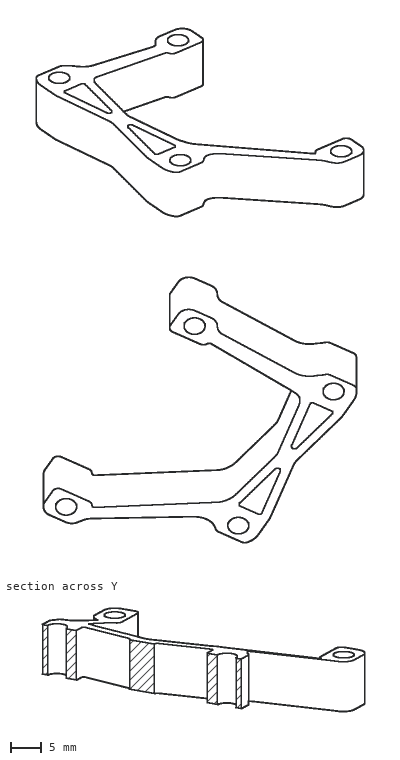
import cadquery as cq
import math

part_height = 15.5
plate_thickness = 8.5
lift = part_height - plate_thickness
overall_width = 48.2
overall_depth = 36.15
hole_diameter = 3.4

front_hole_x = 15.8
front_half_width = 18.5
front_half_depth = 3.75
front_corner_radius = 1.0
web_slope = math.radians(10)
waist_half_depth = 1.7
waist_radius = 3.3
front_flat_end_x = 12.3
front_flat_end_radius = 4.0

rear_inner_x = 18.5
rear_outer_x = overall_width / 2
rear_hole_x = (rear_inner_x + rear_outer_x) / 2
rear_hole_edge_distance = 3.5
rear_edge_y = overall_depth - front_half_depth
rear_hole_y = rear_edge_y - rear_hole_edge_distance
rear_outer_radius = 2.0
rear_outer_flat = 3.0
rear_inner_radius = 1.0
rear_inner_flat = 5.15

shoulder_radius = 5.0
shoulder_angle = math.radians(135)
rear_outer_blend_radius = 3.0
rear_outer_blend_angle = math.radians(240)
rear_inner_blend_radius = 0.6
rear_inner_blend_angle = math.radians(-60)
elbow_radius = 3.0
elbow_x = 10.05

front_bend_y = 3.85
rear_bend_y = rear_hole_y - rear_hole_edge_distance

window_base_x = 12.15
window_tip_x = 2.35
window_base_radius = 0.4
window_tip_radius = 0.5


def touching_circle(circle, angle, radius):
    """Circle of the opposite turn that touches the given one at the given angle."""
    x, y, own_radius = circle
    distance = abs(own_radius) + radius
    turn = -math.copysign(radius, own_radius)
    return (x + distance * math.cos(angle), y + distance * math.sin(angle), turn)


def tangent_heading(start, end):
    """Heading of the line leaving one circle and meeting the next, both tangentially."""
    dx = end[0] - start[0]
    dy = end[1] - start[1]
    ratio = (start[2] - end[2]) / math.hypot(dx, dy)
    return math.atan2(dy, dx) - math.asin(max(-1.0, min(1.0, ratio)))


def point_on(circle, heading):
    """Point of a circle where the outline runs along the heading."""
    x, y, radius = circle
    return (x - radius * math.sin(heading), y + radius * math.cos(heading))


def belt_outline(circles):
    """Closed outline of arcs joined by tangent lines.

    Each circle is (x, y, radius); a positive radius turns clockwise and a
    negative one anticlockwise. Touching circles join without a line.
    """
    shortest_line = 1e-4
    count = len(circles)
    headings = [tangent_heading(circles[i], circles[(i + 1) % count]) for i in range(count)]
    position = point_on(circles[0], headings[-1])
    outline = cq.Workplane("XY").moveTo(*position)
    for i, circle in enumerate(circles):
        arrive = headings[i - 1]
        clockwise_turn = math.copysign(1, circle[2])
        turn = clockwise_turn * ((clockwise_turn * (arrive - headings[i])) % (2 * math.pi))
        middle = point_on(circle, arrive - turn / 2)
        position = point_on(circle, headings[i])
        outline = outline.threePointArc(middle, position)
        line_end = point_on(circles[(i + 1) % count], headings[i])
        if math.dist(position, line_end) > shortest_line and i < count - 1:
            outline = outline.lineTo(*line_end)
    return outline.close()


def mirrored_in_x(circles):
    """The same circles on the other side of X = 0, in reverse order."""
    return [(-x, y, radius) for x, y, radius in reversed(circles)]


def frame_circles():
    """Corner circles of the frame's plan outline, clockwise from the front waist."""
    front_pad = (-front_hole_x, 0, front_half_depth)
    corner_x = -front_half_width + front_corner_radius
    corner_y = math.sqrt((front_half_depth - front_corner_radius) ** 2 - (corner_x + front_hole_x) ** 2)
    front_corner = (corner_x, -corner_y, front_corner_radius)
    shoulder_corner = (corner_x, corner_y, front_corner_radius)

    outer_corner_x = -rear_outer_x + rear_outer_radius
    outer_corner_y = rear_edge_y - rear_outer_radius
    outer_rear_corner = (outer_corner_x, outer_corner_y, rear_outer_radius)
    outer_front_corner = (outer_corner_x, outer_corner_y - rear_outer_flat, rear_outer_radius)
    inner_corner_x = -rear_inner_x - rear_inner_radius
    inner_corner_y = rear_edge_y - rear_inner_radius
    inner_rear_corner = (inner_corner_x, inner_corner_y, rear_inner_radius)
    inner_front_corner = (inner_corner_x, inner_corner_y - rear_inner_flat, rear_inner_radius)

    waist_y = waist_half_depth + waist_radius
    elbow_y = waist_y + elbow_x * math.tan(web_slope) + (elbow_radius - waist_radius) / math.cos(web_slope)

    left_side = [
        (-front_flat_end_x, front_flat_end_radius - front_half_depth, front_flat_end_radius),
        front_pad,
        front_corner,
        shoulder_corner,
        touching_circle(shoulder_corner, shoulder_angle, shoulder_radius),
        touching_circle(outer_front_corner, rear_outer_blend_angle, rear_outer_blend_radius),
        outer_front_corner,
        outer_rear_corner,
        inner_rear_corner,
        inner_front_corner,
        touching_circle(inner_front_corner, rear_inner_blend_angle, rear_inner_blend_radius),
        (-elbow_x, elbow_y, -elbow_radius),
    ]
    front_waist = (0, -waist_y, -waist_radius)
    rear_waist = (0, waist_y, -waist_radius)
    return [front_waist] + left_side + [rear_waist] + mirrored_in_x(left_side)


def stepped_side():
    """Side shape of the frame: level rear pads, sloping arms and a raised bridge."""
    lower_edge = [
        (-front_half_depth, lift),
        (front_bend_y, lift),
        (rear_bend_y, 0),
        (rear_edge_y, 0),
    ]
    upper_edge = [(y, z + plate_thickness) for y, z in reversed(lower_edge)]
    side = cq.Workplane("YZ").polyline(lower_edge + upper_edge).close()
    return side.extrude(overall_width / 2, both=True)


def window(side):
    """Rounded triangular window; side is -1 for the left and 1 for the right."""
    base_x = window_base_x - window_base_radius
    tip_x = window_tip_x + window_tip_radius
    rise = (base_x - tip_x) * math.sin(web_slope) + window_tip_radius - window_base_radius
    base_y = rise / math.cos(web_slope)
    circles = [
        (-base_x, -base_y, window_base_radius),
        (-base_x, base_y, window_base_radius),
        (-tip_x, 0, window_tip_radius),
    ]
    if side > 0:
        circles = mirrored_in_x(circles)
    return belt_outline(circles).extrude(part_height)


def mounting_holes():
    """Vertical through holes, two in the bridge and one in each rear pad."""
    centres = [(side * front_hole_x, 0) for side in (-1, 1)]
    centres += [(side * rear_hole_x, rear_hole_y) for side in (-1, 1)]
    return cq.Workplane("XY").pushPoints(centres).circle(hole_diameter / 2).extrude(part_height)


frame = belt_outline(frame_circles()).extrude(part_height)
result = frame.intersect(stepped_side()).cut(mounting_holes())
for window_side in (-1, 1):
    result = result.cut(window(window_side))